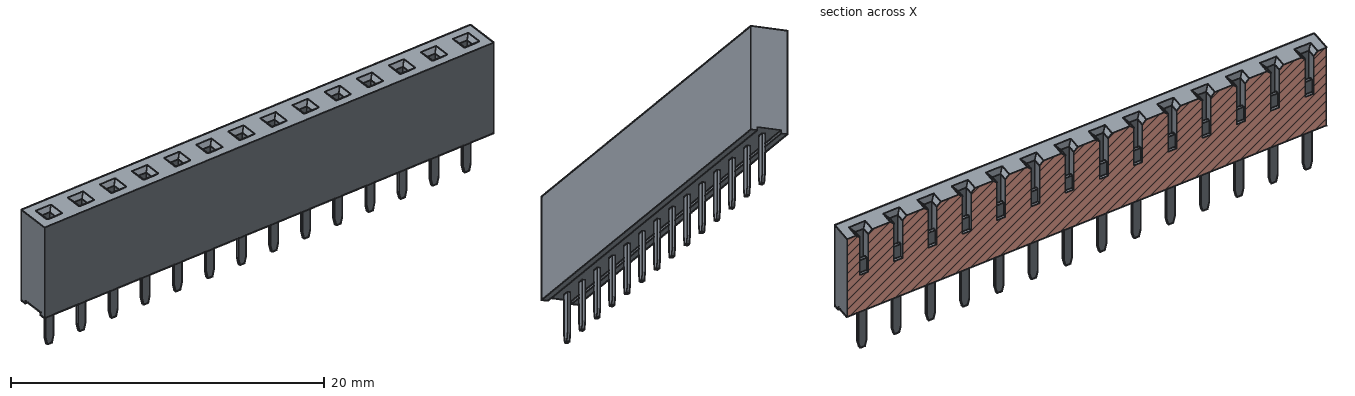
import cadquery as cq

socket_count = 14
length = 35.55
pitch = length / socket_count
width = 2.52
housing_height = 7.0

channel_depth = 0.2
channel_width = 1.65

mouth_size = 1.2
cavity_size = 0.6
lead_in_depth = (mouth_size - cavity_size) / 2
cavity_depth = 3.55

pin_tail = 3.1
pin_thickness = 0.2
pin_width = 0.6
pin_tip_width = 0.35
pin_taper_length = 0.55
pin_rise = 1.05

cavity_floor = housing_height - cavity_depth
socket_positions = [(0, (i - (socket_count - 1) / 2) * pitch) for i in range(socket_count)]


def make_housing():
    """Rectangular block with the shallow channel cut from its underside."""
    block = cq.Workplane("XY").box(width, length, housing_height, centered=(True, True, False))
    channel = cq.Workplane("XY").box(
        channel_width, length, channel_depth, centered=(True, True, False)
    )
    return block.cut(channel)


def make_socket():
    """Volume removed for one socket, centred on the Z axis."""
    lead_in = (
        cq.Workplane("XY", origin=(0, 0, housing_height))
        .rect(mouth_size, mouth_size)
        .workplane(offset=-lead_in_depth)
        .rect(cavity_size, cavity_size)
        .loft(ruled=True)
    )
    cavity = (
        cq.Workplane("XY", origin=(0, 0, cavity_floor))
        .rect(cavity_size, cavity_size)
        .extrude(cavity_depth - lead_in_depth)
    )
    return lead_in.union(cavity)


def make_pin():
    """Flat pin in the YZ plane, narrowing at its lower tip."""
    taper_top = pin_taper_length - pin_tail
    return (
        cq.Workplane("YZ")
        .moveTo(-pin_tip_width / 2, -pin_tail)
        .lineTo(pin_tip_width / 2, -pin_tail)
        .lineTo(pin_width / 2, taper_top)
        .lineTo(pin_width / 2, cavity_floor + pin_rise)
        .lineTo(-pin_width / 2, cavity_floor + pin_rise)
        .lineTo(-pin_width / 2, taper_top)
        .close()
        .extrude(pin_thickness / 2, both=True)
    )


result = make_housing()
for x, y in socket_positions:
    result = result.cut(make_socket().translate((x, y, 0)))
    result = result.union(make_pin().translate((x, y, 0)))